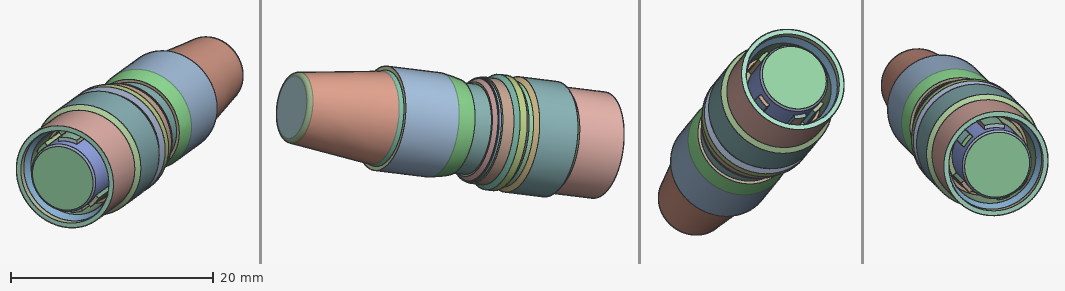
import cadquery as cq
import math


overall_length = 35.0
tail_y = overall_length / 2
plug_face_y = -overall_length / 2
plug_protrusion = 0.5
rim_y = plug_face_y + plug_protrusion

boot_tip_radius = 3.1
boot_tip_round = 0.45
boot_small_radius = boot_tip_radius + boot_tip_round
boot_large_radius = 4.65
boot_foot_radius = 4.8
boot_foot_length = 0.45
boot_length = 10.0

barrel_radius = 5.2
barrel_length = 6.0
barrel_end_radius = 4.8
barrel_nose_length = 2.0
barrel_nose_bulge = 0.05
neck_radius = 4.5
neck_length = 2.0

sleeve_radius = 5.3
grip_radius = 5.75
grip_chamfer = grip_radius - sleeve_radius
shoulder_radius = 4.7
shoulder_chamfer = 0.4
shoulder_land = 0.1
step_radius = 5.2
step_chamfer = sleeve_radius - step_radius
shoulder_length = 0.85
ring_start = 22.1
ring_end = 23.8
grip_start = 24.3
grip_end = 29.5

mouth_radius = 4.8
mouth_depth = 0.7
socket_radius = 4.4
socket_cone_end_depth = 1.5
socket_depth = 5.0
collar_radius = 4.0
collar_depth = 4.0

plug_radius = 3.5
plug_chamfer = 0.2
key_radius = 3.9
key_depth = 0.65
side_key_span = 20.0
side_key_width = 2 * key_radius * math.sin(math.radians(side_key_span / 2))
side_key_angles = (140, 220, 320)
top_key_width = 2.0
top_key_angle = 90
bottom_key_width = 1.2
bottom_key_angle = 270
bottom_key_shift = 0.95


def make_body():
    boot_end_y = tail_y - boot_length
    barrel_end_y = boot_end_y - barrel_length
    nose_end_y = barrel_end_y - barrel_nose_length
    neck_end_y = nose_end_y - neck_length
    shoulder_y = neck_end_y - shoulder_chamfer
    sleeve_top_y = neck_end_y - shoulder_length
    ring_top_y = tail_y - ring_start
    ring_bottom_y = tail_y - ring_end
    grip_top_y = tail_y - grip_start
    grip_bottom_y = tail_y - grip_end
    nose_mid_radius = (barrel_radius + barrel_end_radius) / 2 + barrel_nose_bulge
    round_mid_offset = boot_tip_round * math.sqrt(0.5)
    shoulder_corner_radius = shoulder_radius + shoulder_chamfer

    outline = (
        cq.Workplane("XY")
        .moveTo(0, tail_y)
        .lineTo(boot_tip_radius, tail_y)
        .threePointArc(
            (boot_tip_radius + round_mid_offset, tail_y - boot_tip_round + round_mid_offset),
            (boot_small_radius, tail_y - boot_tip_round),
        )
        .lineTo(boot_large_radius, boot_end_y + boot_foot_length)
        .lineTo(boot_foot_radius, boot_end_y)
        .lineTo(barrel_radius, boot_end_y)
        .lineTo(barrel_radius, barrel_end_y)
        .threePointArc(
            (nose_mid_radius, (barrel_end_y + nose_end_y) / 2),
            (barrel_end_radius, nose_end_y),
        )
        .lineTo(neck_radius, nose_end_y)
        .lineTo(neck_radius, neck_end_y)
        .lineTo(shoulder_radius, neck_end_y)
        .lineTo(shoulder_corner_radius, shoulder_y)
        .lineTo(shoulder_corner_radius, shoulder_y - shoulder_land)
        .lineTo(step_radius, shoulder_y - shoulder_land)
        .lineTo(step_radius, sleeve_top_y + step_chamfer)
        .lineTo(sleeve_radius, sleeve_top_y)
        .lineTo(sleeve_radius, ring_top_y)
        .lineTo(grip_radius, ring_top_y - grip_chamfer)
        .lineTo(grip_radius, ring_bottom_y + grip_chamfer)
        .lineTo(sleeve_radius, ring_bottom_y)
        .lineTo(sleeve_radius, grip_top_y)
        .lineTo(grip_radius, grip_top_y - grip_chamfer)
        .lineTo(grip_radius, grip_bottom_y + grip_chamfer)
        .lineTo(sleeve_radius, grip_bottom_y)
        .lineTo(sleeve_radius, rim_y)
        .lineTo(mouth_radius, rim_y)
        .lineTo(mouth_radius, rim_y + mouth_depth)
        .lineTo(socket_radius, rim_y + socket_cone_end_depth)
        .lineTo(socket_radius, rim_y + socket_depth)
        .lineTo(collar_radius, rim_y + socket_depth)
        .lineTo(collar_radius, rim_y + collar_depth)
        .lineTo(plug_radius, rim_y + collar_depth)
        .lineTo(plug_radius, plug_face_y + plug_chamfer)
        .lineTo(plug_radius - plug_chamfer, plug_face_y)
        .lineTo(0, plug_face_y)
    )
    return outline.close().revolve(360, (0, 0, 0), (0, 1, 0))


def make_key(angle, width, shift=0.0):
    """Rib on the plug, in front of the collar.

    The angle is measured from +X towards +Z. The shift moves the rib sideways,
    clockwise as seen from the mating end.
    """
    collar_y = rim_y + collar_depth
    length = collar_depth - key_depth
    key_plane = cq.Workplane("XZ", origin=(0, collar_y, 0))
    bar = (
        key_plane
        .center(shift, key_radius / 2)
        .rect(width, key_radius)
        .extrude(length)
        .rotate((0, 0, 0), (0, 1, 0), 90 - angle)
    )
    return key_plane.circle(key_radius).extrude(length).intersect(bar)


result = make_body()
result = result.union(make_key(top_key_angle, top_key_width))
result = result.union(make_key(bottom_key_angle, bottom_key_width, -bottom_key_shift))
for side_key_angle in side_key_angles:
    result = result.union(make_key(side_key_angle, side_key_width))